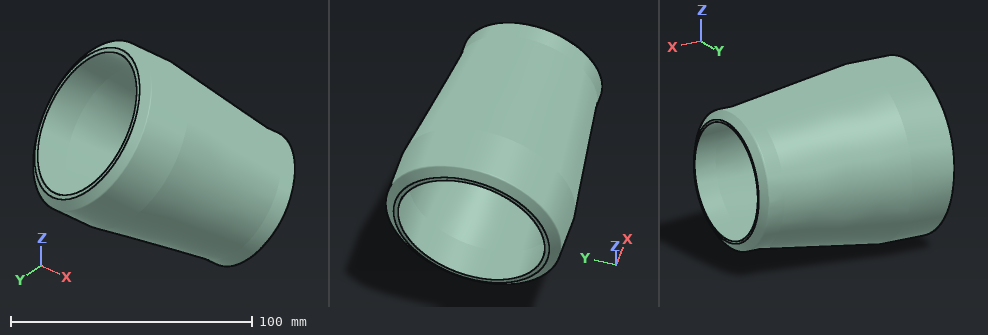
import cadquery as cq

length = 90.0
large_end_length = 23.0
large_bore_length = 15.3
small_end_length = 10.1
bevel_length = 2.7
bevel_edge_radius = 0.9

large_outer_diameter = 76.1
large_bore_diameter = 63.5
large_face_diameter = 67.5

small_outer_diameter = 60.3
small_bore_diameter = 50.3
small_face_diameter = 52.4

taper_end = length - small_end_length

wall_section = (
    cq.Workplane("XY")
    .moveTo(0, large_bore_diameter / 2)
    .lineTo(0, large_face_diameter / 2)
    .lineTo(bevel_length, large_outer_diameter / 2)
    .lineTo(large_end_length, large_outer_diameter / 2)
    .lineTo(taper_end, small_outer_diameter / 2)
    .lineTo(length - bevel_length, small_outer_diameter / 2)
    .lineTo(length, small_face_diameter / 2)
    .lineTo(length, small_bore_diameter / 2)
    .lineTo(taper_end, small_bore_diameter / 2)
    .lineTo(large_bore_length, large_bore_diameter / 2)
    .close()
)

body = wall_section.revolve(360, (0, 0, 0), (1, 0, 0))


def round_bevel_edge(solid, edge_position, edge_diameter):
    """Round the circular edge where a welding bevel meets the outer cylinder."""
    edge = solid.edges(
        cq.selectors.BoxSelector(
            (edge_position - bevel_edge_radius, -edge_diameter, -edge_diameter),
            (edge_position + bevel_edge_radius, edge_diameter, edge_diameter),
        )
    )
    return edge.fillet(bevel_edge_radius)


body = round_bevel_edge(body, bevel_length, large_outer_diameter)
result = round_bevel_edge(body, length - bevel_length, small_outer_diameter)